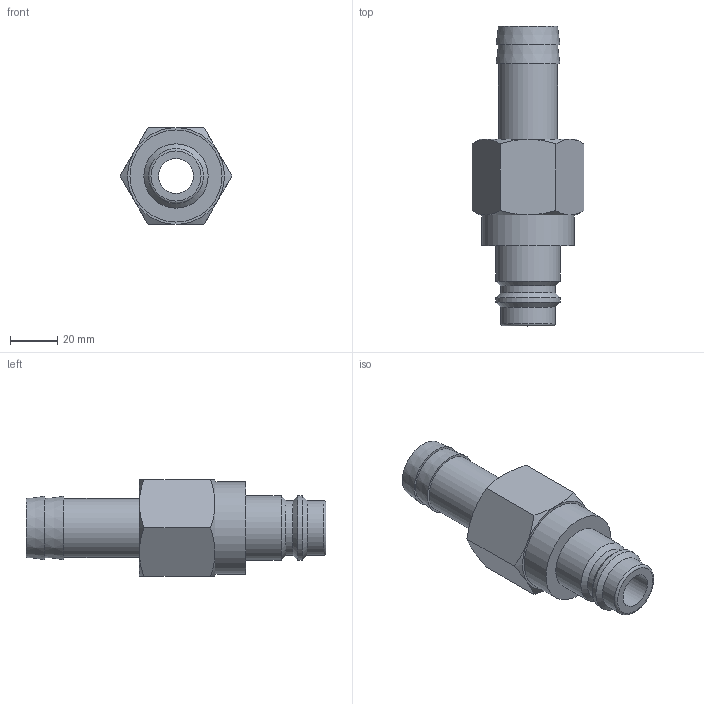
import cadquery as cq
import math


total_length = 127.0
plug_length = 34.0
collar_length = 13.0
hex_length = 32.0
barb_length = 8.0
barb_count = 2

bore_diameter = 14.7
plug_diameter = 27.2
neck_diameter = 23.2
collar_diameter = 39.0
hex_across_flats = 41.0
stem_diameter = 25.0
barb_diameter = 27.0

tip_land_length = 8.0
bead_land_length = 2.0
groove_floor_length = 3.0
tip_fillet = 1.0

chamfer_angle = 30.0

hex_across_corners = hex_across_flats / math.cos(math.radians(30.0))
flank_length = (plug_diameter - neck_diameter) / 2
hex_start = plug_length + collar_length
hex_end = hex_start + hex_length
barbs_start = total_length - barb_count * barb_length


def revolve_about_axis(outline):
    """Turn a closed (radius, y) outline about the Y axis."""
    return cq.Workplane("XY").polyline(outline).close().revolve(360, (0, 0, 0), (0, 1, 0))


def cylinder(diameter, start, end):
    """Round bar on the Y axis between two Y positions."""
    radius = diameter / 2
    return revolve_about_axis([(0, start), (radius, start), (radius, end), (0, end)])


def make_plug():
    """Plug end with a bead and a locking groove behind its rounded tip."""
    plug_radius = plug_diameter / 2
    neck_radius = neck_diameter / 2
    bead_start = tip_land_length + flank_length
    bead_end = bead_start + bead_land_length
    groove_start = bead_end + flank_length
    groove_end = groove_start + groove_floor_length
    outline = [
        (0, 0),
        (neck_radius, 0),
        (neck_radius, tip_land_length),
        (plug_radius, bead_start),
        (plug_radius, bead_end),
        (neck_radius, groove_start),
        (neck_radius, groove_end),
        (plug_radius, groove_end + flank_length),
        (plug_radius, plug_length),
        (0, plug_length),
    ]
    return revolve_about_axis(outline).faces("<Y").edges().fillet(tip_fillet)


def make_hexagon():
    """Hexagon with corners on the X axis, both ends chamfered by a cone."""
    prism = (
        cq.Workplane("XZ", origin=(0, hex_start, 0))
        .polygon(6, hex_across_corners)
        .extrude(-hex_length)
    )
    face_radius = hex_across_flats / 2
    corner_radius = hex_across_corners / 2
    chamfer_depth = (corner_radius - face_radius) * math.tan(math.radians(chamfer_angle))
    envelope = [
        (0, hex_start),
        (face_radius, hex_start),
        (corner_radius, hex_start + chamfer_depth),
        (corner_radius, hex_end - chamfer_depth),
        (face_radius, hex_end),
        (0, hex_end),
    ]
    return prism.intersect(revolve_about_axis(envelope))


def make_barb(start):
    """Conical hose barb, widest at its start and narrowing toward the hose end."""
    end = start + barb_length
    return revolve_about_axis([(0, start), (barb_diameter / 2, start), (stem_diameter / 2, end), (0, end)])


body = make_plug()
body = body.union(cylinder(collar_diameter, plug_length, hex_start))
body = body.union(make_hexagon())
body = body.union(cylinder(stem_diameter, hex_end, barbs_start))
for index in range(barb_count):
    body = body.union(make_barb(barbs_start + index * barb_length))

result = body.cut(cylinder(bore_diameter, 0, total_length))